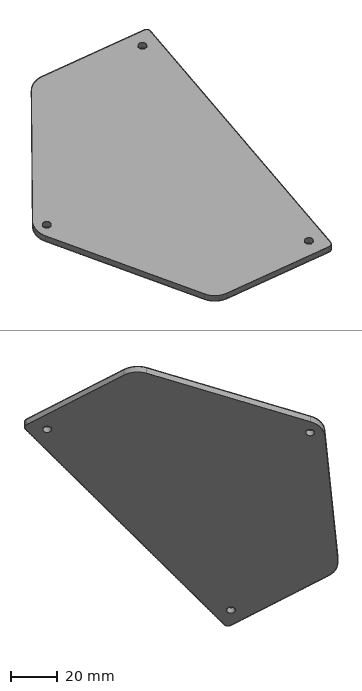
import cadquery as cq

width = 150.0
side_length = 59.1
apex_depth = 105.2
thickness = 3.5

back_corner_radius = 2.0
front_corner_radius = 10.0

hole_diameter = 3.8
back_hole_inset = 7.5
apex_hole_depth = 98.0

half_width = width / 2
back_hole_x = half_width - back_hole_inset


def make_plate():
    """Five-sided plate with its back edge on Y = 0 and its apex toward -Y."""
    outline = [
        (-half_width, 0),
        (half_width, 0),
        (half_width, -side_length),
        (0, -apex_depth),
        (-half_width, -side_length),
    ]
    plate = cq.Workplane("XY").polyline(outline).close().extrude(thickness)
    plate = plate.edges("|Z and >Y").fillet(back_corner_radius)
    front_corners = cq.selectors.BoxSelector(
        (-width, -side_length / 2, -thickness),
        (width, -2 * apex_depth, 2 * thickness),
    )
    return plate.edges("|Z").edges(front_corners).fillet(front_corner_radius)


def drill_holes(plate):
    """One through hole near each back corner and one near the apex."""
    centers = [
        (-back_hole_x, -back_hole_inset),
        (back_hole_x, -back_hole_inset),
        (0, -apex_hole_depth),
    ]
    drills = cq.Workplane("XY").pushPoints(centers).circle(hole_diameter / 2).extrude(thickness)
    return plate.cut(drills)


result = drill_holes(make_plate())